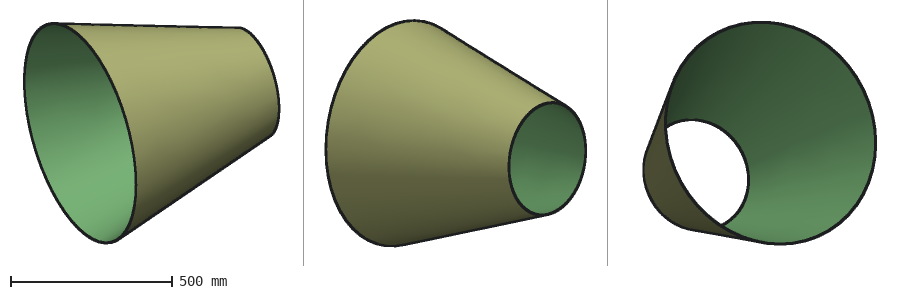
import cadquery as cq

LARGE_OUTER_DIAMETER = 708.0
SMALL_OUTER_DIAMETER = 355.0
LENGTH = 610.0
WALL_THICKNESS = 3.0

large_outer_radius = LARGE_OUTER_DIAMETER / 2
small_outer_radius = SMALL_OUTER_DIAMETER / 2
large_inner_radius = large_outer_radius - WALL_THICKNESS
small_inner_radius = small_outer_radius - WALL_THICKNESS


def conical_reducer():
    """Thin conical shell along Y, large open end at Y = 0, small open end at Y = LENGTH."""
    wall_section = (
        cq.Workplane("XY")
        .moveTo(large_inner_radius, 0)
        .lineTo(large_outer_radius, 0)
        .lineTo(small_outer_radius, LENGTH)
        .lineTo(small_inner_radius, LENGTH)
        .close()
    )
    return wall_section.revolve(360, (0, 0, 0), (0, 1, 0))


result = conical_reducer()